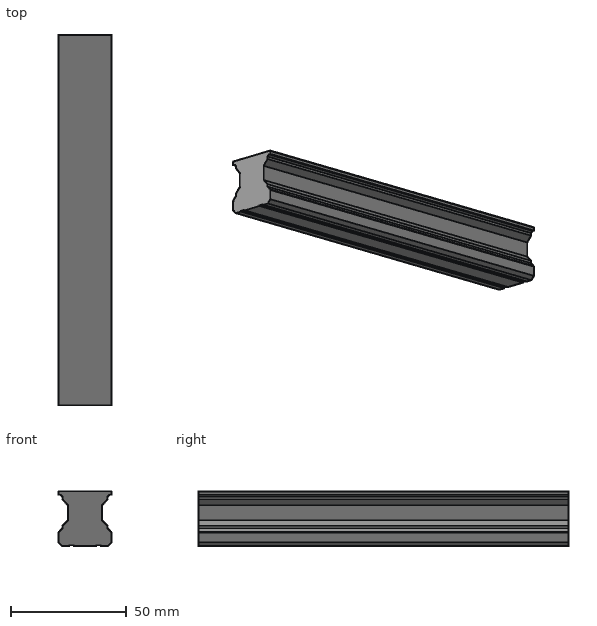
import cadquery as cq

LENGTH = 160.0
WIDTH = 23.0
HEIGHT = 23.7
HALF_WIDTH = WIDTH / 2

NECK_HALF_WIDTH = 7.4
NECK_BOTTOM = 11.2
NECK_TOP = 17.6
RACEWAY_RUN = 2.4
UPPER_RACEWAY_RISE = 2.5
STEP_HEIGHT = 1.1
STEP_RELIEF_DEPTH = 0.08
LIP_THICKNESS = 1.6
BASE_CHAMFER = 1.6
EDGE_BREAK_WIDTH = 0.2
EDGE_BREAK_HEIGHT = 0.3

GROOVE_CENTER = 5.8
GROOVE_WIDTH = 2.0
GROOVE_DEPTH = 0.3

PLUG_COUNT = 5
PLUG_END_MARGIN = 20.0
PLUG_PITCH = (LENGTH - 2 * PLUG_END_MARGIN) / (PLUG_COUNT - 1)
PLUG_DIAMETER = 11.0
PLUG_DEPTH = 1.6


def right_side_points():
    """Right half of the cross-section, from the bottom edge up to the top edge."""
    step_x = NECK_HALF_WIDTH + RACEWAY_RUN
    lower_step_top = NECK_BOTTOM - RACEWAY_RUN
    lower_step_bottom = lower_step_top - STEP_HEIGHT
    relief_x = step_x - STEP_RELIEF_DEPTH
    shoulder = lower_step_bottom - (HALF_WIDTH - step_x)
    upper_step_bottom = NECK_TOP + UPPER_RACEWAY_RISE
    upper_step_top = upper_step_bottom + STEP_HEIGHT
    lip_bottom = HEIGHT - LIP_THICKNESS
    lip_root_x = step_x + lip_bottom - upper_step_top
    return [
        (HALF_WIDTH - BASE_CHAMFER, 0),
        (HALF_WIDTH, BASE_CHAMFER),
        (HALF_WIDTH, shoulder - EDGE_BREAK_HEIGHT + EDGE_BREAK_WIDTH),
        (HALF_WIDTH - EDGE_BREAK_WIDTH, shoulder + EDGE_BREAK_WIDTH),
        (step_x, lower_step_bottom),
        (relief_x, lower_step_bottom + STEP_HEIGHT / 2),
        (step_x, lower_step_top),
        (NECK_HALF_WIDTH, NECK_BOTTOM),
        (NECK_HALF_WIDTH, NECK_TOP),
        (step_x, upper_step_bottom),
        (relief_x, upper_step_bottom + STEP_HEIGHT / 2),
        (step_x, upper_step_top),
        (lip_root_x, lip_bottom),
        (HALF_WIDTH, lip_bottom),
        (HALF_WIDTH, HEIGHT - EDGE_BREAK_HEIGHT),
        (HALF_WIDTH - EDGE_BREAK_WIDTH, HEIGHT),
    ]


def rail_body():
    """Mirror the half section about the YZ plane and extrude it along Y."""
    right = right_side_points()
    left = [(-x, z) for x, z in reversed(right)]
    return cq.Workplane("XZ").polyline(right + left).close().extrude(LENGTH / 2, both=True)


def underside_grooves():
    """Two shallow full-length grooves, one on each side of the centre."""
    return (
        cq.Workplane("XY")
        .pushPoints([(-GROOVE_CENTER, 0), (GROOVE_CENTER, 0)])
        .rect(GROOVE_WIDTH, LENGTH)
        .extrude(GROOVE_DEPTH)
    )


def hole_plugs():
    """Row of discs whose top faces are flush with the top of the rail."""
    return (
        cq.Workplane("XY", origin=(0, 0, HEIGHT - PLUG_DEPTH))
        .rarray(1.6, PLUG_PITCH, 1, PLUG_COUNT)
        .circle(PLUG_DIAMETER / 2)
        .extrude(PLUG_DEPTH)
    )


rail = rail_body().cut(underside_grooves())
plugs = hole_plugs()

result = rail.cut(plugs).union(plugs, clean=False)